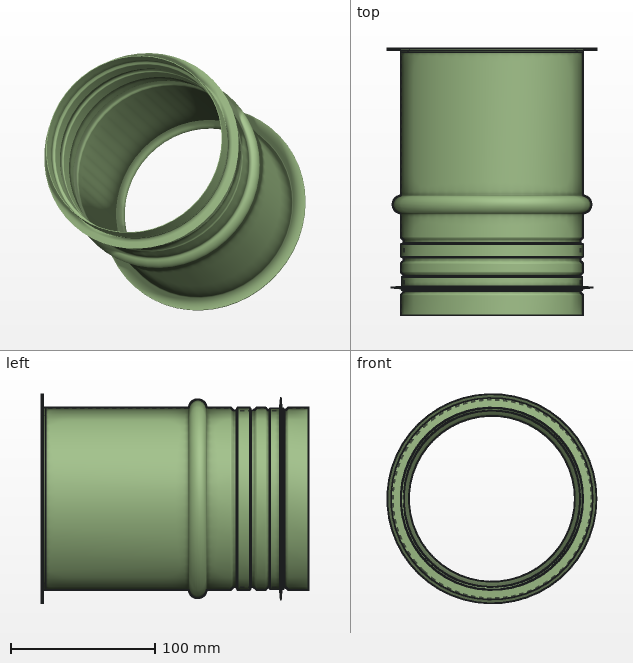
import cadquery as cq
import math

length = 185.0
outer_radius = 126.5 / 2
inner_radius = 125.6 / 2
wall = outer_radius - inner_radius

flange_radius = 145.0 / 2
flange_thickness = 1.3
flange_fillet = 0.7

opening_radius = 57.4
rim_length = 3.0
rim_round = 2.2
rim_tilt = math.radians(11)

bead_y = 76.8
bead_height = 5.7
bead_round_radius = 6.3
bead_fillet = 1.0

groove_depth = 1.8
groove_rim_fillet = 1.1
groove_floor_fillet = 0.5
lip_groove_front_y = 14.2
lip_groove_back_y = 29.8
band_groove_front_y = 36.0
band_groove_back_y = 53.8
floor_radius = outer_radius - groove_depth

band_seal_width = 10.4
band_seal_y = (band_groove_front_y + band_groove_back_y) / 2

lip_seal_radius = 139.7 / 2
lip_seal_band_thickness = 1.3
lip_y = 19.2
lip_root_thickness = 1.5
lip_tip_thickness = 0.2

seal_bevel = 1.0


def revolve_profile(profile):
    """Turn a closed profile, drawn as (radius, y), into a ring about the Y axis."""
    return profile.revolve(360, (0, 0, 0), (0, 1, 0))


def revolve_outline(points):
    """Ring about the Y axis from the corners of its outline."""
    return revolve_profile(cq.Workplane("XY").polyline(points).close())


def groove_outline(front_y, back_y):
    """Corners of one pressed groove with 45 degree sides, from front rim to back rim."""
    return [
        (outer_radius, front_y),
        (floor_radius, front_y + groove_depth),
        (floor_radius, back_y - groove_depth),
        (outer_radius, back_y),
    ]


def corners_at(radius, start_y, end_y):
    """Selector for the outline corners at one radius between two places along Y."""
    reach = 0.02
    return cq.selectors.BoxSelector((radius - reach, start_y, -1.8), (radius + reach, end_y, 1.8))


def make_pipe_wall():
    """Sheet wall: the outer face outline and its inward offset, turned about Y and trimmed at both ends."""
    margin = 9.2
    core_radius = 37.0
    outline = [
        (core_radius, -margin),
        (outer_radius, -margin),
        *groove_outline(lip_groove_front_y, lip_groove_back_y),
        *groove_outline(band_groove_front_y, band_groove_back_y),
        (outer_radius, length + margin),
        (core_radius, length + margin),
        (core_radius, -margin),
    ]
    bead_center_radius = outer_radius + bead_height - bead_round_radius
    bead_front_y = bead_y - bead_round_radius - bead_fillet

    sketch = (
        cq.Sketch().polygon(outline)
        .push([(bead_center_radius, bead_y)]).circle(bead_round_radius).reset().clean()
        .vertices(corners_at(outer_radius, bead_front_y, length)).fillet(bead_fillet).reset()
        .vertices(corners_at(outer_radius, 0, bead_front_y)).fillet(groove_rim_fillet).reset()
        .vertices(corners_at(floor_radius, 0, bead_front_y)).fillet(groove_floor_fillet).reset()
    )
    outer_wire = sketch.faces().val().outerWire()
    inner_wire = outer_wire.offset2D(-wall, "intersection")[0]
    section = cq.Face.makeFromWires(outer_wire, [inner_wire])
    sheet = cq.Solid.revolve(section, 360, cq.Vector(0, 0, 0), cq.Vector(0, 1, 0))

    trim_radius = core_radius + 2 * wall
    trim = revolve_outline([(trim_radius, 0), (flange_radius, 0), (flange_radius, length), (trim_radius, length)])
    return cq.Workplane("XY").add(sheet).intersect(trim)


def make_flange():
    """Flange and entry rim as one ring, with a concave fillet between the flange and the pipe wall."""
    flange_front_y = length - flange_thickness
    fillet_radius = outer_radius + flange_fillet
    fillet_y = flange_front_y - flange_fillet
    fillet_offset = flange_fillet * math.sqrt(0.5)

    rim_front_y = length - rim_length
    round_center_radius = opening_radius + rim_round
    round_start_radius = round_center_radius - rim_round * math.sin(rim_tilt)
    round_start_y = rim_front_y + (inner_radius - round_start_radius) * math.tan(rim_tilt)
    round_center_y = round_start_y + rim_round * math.cos(rim_tilt)
    round_middle_angle = (math.pi / 2 + rim_tilt) / 2
    round_middle = (
        round_center_radius - rim_round * math.sin(round_middle_angle),
        round_center_y - rim_round * math.cos(round_middle_angle),
    )

    profile = (
        cq.Workplane("XY").moveTo(opening_radius, length).lineTo(flange_radius, length)
        .lineTo(flange_radius, flange_front_y).lineTo(fillet_radius, flange_front_y)
        .threePointArc((fillet_radius - fillet_offset, fillet_y + fillet_offset), (outer_radius, fillet_y))
        .lineTo(outer_radius, rim_front_y).lineTo(inner_radius, rim_front_y)
        .lineTo(round_start_radius, round_start_y)
        .threePointArc(round_middle, (opening_radius, round_center_y))
        .close()
    )
    return revolve_profile(profile)


def make_pipe():
    """Pipe wall with its flange."""
    return make_pipe_wall().union(make_flange())


def make_band_seal():
    """Plain band with beveled edges."""
    front_y = band_seal_y - band_seal_width / 2
    back_y = band_seal_y + band_seal_width / 2
    return revolve_outline([
        (floor_radius, front_y),
        (outer_radius, front_y + seal_bevel),
        (outer_radius, back_y - seal_bevel),
        (floor_radius, back_y),
    ])


def make_lip_seal():
    """Band with beveled edges that ends short of the floor fillets, with a lip that tapers outwards."""
    front_y = lip_groove_front_y + groove_depth + groove_floor_fillet
    back_y = lip_groove_back_y - groove_depth - groove_floor_fillet
    band_radius = floor_radius + lip_seal_band_thickness
    return revolve_outline([
        (floor_radius, front_y),
        (band_radius, front_y + seal_bevel),
        (band_radius, lip_y - lip_root_thickness / 2),
        (lip_seal_radius, lip_y - lip_tip_thickness / 2),
        (lip_seal_radius, lip_y + lip_tip_thickness / 2),
        (band_radius, lip_y + lip_root_thickness / 2),
        (band_radius, back_y - seal_bevel),
        (floor_radius, back_y),
    ])


pipe = make_pipe()
band_seal = make_band_seal()
lip_seal = make_lip_seal()

result = cq.Compound.makeCompound([pipe.val(), band_seal.val(), lip_seal.val()])